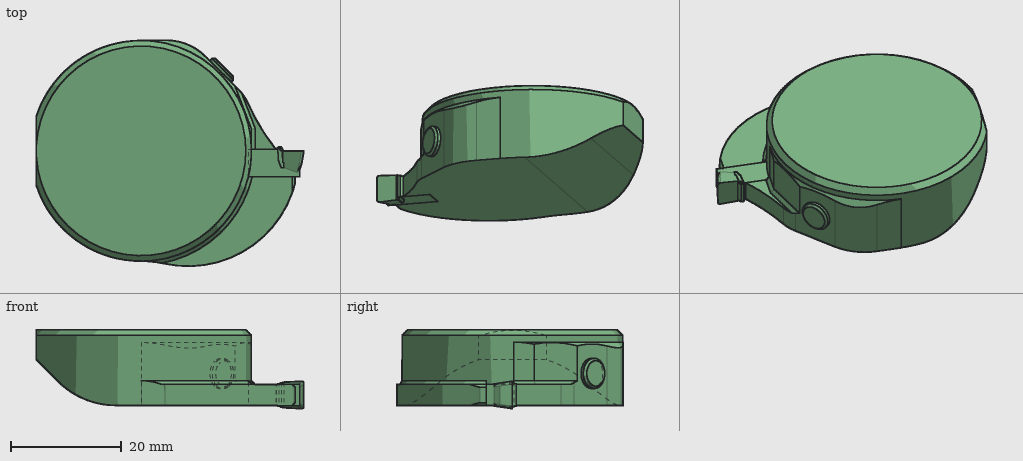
import cadquery as cq
import math

disc_radius = 20.0
disc_height = 13.73
rim_chamfer = 1.0
rear_flat_x = -19.0
undercut_start_z = 8.35
undercut_radius = 15.0

blade_thickness = 3.85
blade_arc_radius = disc_radius
blade_arc_x = 8.55
blade_arc_y = -0.9
blade_end_x = 27.9
blade_end_chamfer = 0.55
blade_arc_start_x = 4.3
bend_start_x = 17.65
bend_middle = (18.58, 10.0)
bend_end = (19.3, 8.75)
hollow_middle = (21.75, 4.1)
hollow_end_x = 24.4
foot_chamfer = 0.7

boss_top_y = 20.05
boss_wall_x = 20.0
boss_wall_y = 3.95
pad_corner_x = 16.98
pad_distance = 20.3
boss_corner_radius = 10.0
boss_cone_z = 11.5
plug_diameter = 5.5
plug_end = 21.35
plug_z = 5.8
plug_chamfer = 0.45

insert_top_y = 0.3
insert_width = 5.0
insert_inner_x = 19.4
insert_front_x = 28.75
nub_start_x = 24.45
nub_top_y = 0.75
nub_flat_start_x = 24.9
nub_flat_end_x = 25.35
rake_start_x = 25.8
tip_front_x = 29.5
tip_back_half_width = 2.35
tip_flare = 0.05
nub_half_width = 2.25
tip_back_x = 25.65
tip_root_x = 25.3
tip_root_half_width = 1.65
tip_corner_radius = 0.5
side_relief = 0.14
shoulder_half_width = 2.05
shoulder_start_x = 24.75
shoulder_bend_y = -1.85
shoulder_end_y = -3.05
tip_levels = [
    (0.0, tip_front_x),
    (-2.3, 29.1),
    (-3.35, insert_front_x),
    (-4.35, insert_front_x),
]

insert_bottom_y = insert_top_y - insert_width
middle_z = blade_thickness / 2
diagonal = math.sqrt(0.5)
bevel_angle = 45
half_bend = math.radians(bevel_angle / 2)


def make_disc():
    disc = cq.Workplane("XY").circle(disc_radius).extrude(disc_height)
    return disc.faces(">Z").edges().chamfer(rim_chamfer)


def make_undercut():
    """Everything to remove outside the rear flat and below the blended 45 degree slope."""
    slope_foot_x = rear_flat_x + undercut_start_z
    tangent = undercut_radius * math.tan(half_bend)
    blend_start = (slope_foot_x - tangent * diagonal, tangent * diagonal)
    blend_end_x = slope_foot_x + tangent
    blend_middle = (
        blend_end_x - undercut_radius * math.sin(half_bend),
        undercut_radius * (1 - math.cos(half_bend)),
    )
    outside = 2 * disc_radius
    return (
        cq.Workplane("XZ")
        .moveTo(rear_flat_x, outside)
        .lineTo(rear_flat_x, undercut_start_z)
        .lineTo(*blend_start)
        .threePointArc(blend_middle, (blend_end_x, 0))
        .lineTo(-outside, 0)
        .lineTo(-outside, outside)
        .close()
        .extrude(outside, both=True)
    )


def pad_line_y(x):
    """Y on the 45 degree line of the boss pad, which the blade edge continues."""
    return pad_distance / diagonal - x


def blade_arc_point_y(x):
    return blade_arc_y - math.sqrt(blade_arc_radius**2 - (x - blade_arc_x) ** 2)


def blade_prism(height):
    """Blade outline: concave blend off the disc, outer arc, end face, hollow edge and bend."""
    arc_start_y = blade_arc_point_y(blade_arc_start_x)
    drop = -disc_radius - arc_start_y
    blend_radius = (blade_arc_start_x**2 + drop**2) / (2 * drop)
    arc_middle = (
        blade_arc_x + blade_arc_radius * diagonal,
        blade_arc_y - blade_arc_radius * diagonal,
    )
    bend_start = (bend_start_x, pad_line_y(bend_start_x))
    return (
        cq.Workplane("XY")
        .moveTo(0, 0)
        .lineTo(0, -disc_radius)
        .radiusArc((blade_arc_start_x, arc_start_y), blend_radius)
        .threePointArc(arc_middle, (blade_end_x, blade_arc_point_y(blade_end_x)))
        .lineTo(blade_end_x, insert_top_y)
        .lineTo(hollow_end_x, insert_top_y)
        .threePointArc(hollow_middle, bend_end)
        .threePointArc(bend_middle, bend_start)
        .lineTo(pad_corner_x, pad_line_y(pad_corner_x))
        .close()
        .extrude(height)
    )


def make_blade():
    """Blade with both edges of its end face chamfered."""
    end_profile = cq.Workplane("XZ").polyline([
        (-disc_radius, 0),
        (blade_end_x - blade_end_chamfer, 0),
        (blade_end_x, blade_end_chamfer),
        (blade_end_x, blade_thickness - blade_end_chamfer),
        (blade_end_x - blade_end_chamfer, blade_thickness),
        (-disc_radius, blade_thickness),
    ]).close().extrude(2 * disc_radius, both=True)
    return blade_prism(blade_thickness).intersect(end_profile)


def boss_side_points():
    """Straight wall beside the insert, then the slanted wall up to the pad."""
    return [
        (0, insert_top_y),
        (boss_wall_x, insert_top_y),
        (boss_wall_x, boss_wall_y),
        (pad_corner_x, pad_line_y(pad_corner_x)),
    ]


def make_boss():
    """Prism around the pad, its top sloping down from the disc wall at 45 degrees."""
    corner_x = pad_line_y(boss_top_y)
    tangent = boss_corner_radius * math.tan(half_bend)
    corner_start = (corner_x + tangent * diagonal, boss_top_y - tangent * diagonal)
    corner_end = (corner_x - tangent, boss_top_y)
    corner_middle = (
        corner_end[0] + boss_corner_radius * math.sin(half_bend),
        boss_top_y - boss_corner_radius * (1 - math.cos(half_bend)),
    )
    prism = (
        cq.Workplane("XY")
        .polyline(boss_side_points())
        .lineTo(*corner_start)
        .threePointArc(corner_middle, corner_end)
        .lineTo(0, boss_top_y)
        .close()
        .extrude(disc_height)
    )
    cone_base = disc_radius + boss_cone_z
    cone = cq.Workplane(cq.Solid.makeCone(cone_base, 0, cone_base))
    return prism.intersect(cone)


def make_plug():
    """Round head standing out of the pad, its axis square to the pad face."""
    outward = cq.Vector(1, 1, 0)
    plane = cq.Plane(origin=(0, 0, plug_z), xDir=(0, 0, 1), normal=outward)
    plug = cq.Workplane(plane).circle(plug_diameter / 2).extrude(plug_end)
    outer_face = plug.faces(cq.selectors.DirectionMinMaxSelector(outward))
    return outer_face.edges().chamfer(plug_chamfer)


def make_foot_bead():
    """45 degree bead on the blade, around the disc wall and along the boss wall."""
    foot_radius = disc_radius + foot_chamfer
    blade_top = cq.Plane(origin=(0, 0, blade_thickness))
    ring = cq.Workplane(blade_top).circle(foot_radius).extrude(foot_chamfer, taper=bevel_angle)
    wall = (
        cq.Workplane(blade_top)
        .polyline(boss_side_points())
        .close()
        .offset2D(foot_chamfer, "intersection")
        .extrude(foot_chamfer, taper=bevel_angle)
    )
    return ring.union(wall).intersect(blade_prism(disc_height))


def slot_prism(height):
    """Straight slot for the insert bar, open past the end of the blade."""
    length = insert_front_x - insert_inner_x
    return cq.Workplane("XY").box(length, insert_width, height, centered=False).translate(
        (insert_inner_x, insert_bottom_y, 0)
    )


def make_head():
    flange = make_blade().union(make_foot_bead()).cut(slot_prism(disc_height))
    core = make_disc().union(make_boss()).union(make_plug())
    return core.union(flange).cut(slot_prism(blade_thickness)).cut(make_undercut())


def make_insert_bar():
    return (
        cq.Workplane("XY")
        .polyline([
            (insert_inner_x, insert_bottom_y),
            (insert_front_x, insert_bottom_y),
            (insert_front_x, 0),
            (rake_start_x, 0),
            (nub_flat_end_x, nub_top_y),
            (nub_flat_start_x, nub_top_y),
            (nub_start_x, insert_top_y),
            (insert_inner_x, insert_top_y),
        ])
        .close()
        .extrude(blade_thickness)
    )


def tip_section(y, front_x):
    """Outline of the cutting tip at one level, symmetric about the middle of its thickness."""
    relief = side_relief * y
    back = tip_back_half_width + relief
    corner_x = front_x - tip_corner_radius
    front = back + tip_flare * (corner_x - tip_back_x)
    side = front - tip_corner_radius
    arc_x = corner_x + tip_corner_radius * diagonal
    arc_z = side + tip_corner_radius * diagonal
    return (
        cq.Workplane("XZ", origin=(0, y, middle_z))
        .moveTo(tip_root_x, tip_root_half_width)
        .lineTo(tip_back_x, back)
        .lineTo(corner_x, front)
        .threePointArc((arc_x, arc_z), (front_x, side))
        .lineTo(front_x, -side)
        .threePointArc((arc_x, -arc_z), (corner_x, -front))
        .lineTo(tip_back_x, -back)
        .lineTo(tip_root_x, -tip_root_half_width)
        .close()
        .val()
    )


def make_shoulder():
    """Low step around the root of the tip, on both sides of the bar."""
    return (
        cq.Workplane("XY", origin=(0, 0, middle_z))
        .polyline([
            (shoulder_start_x, insert_top_y),
            (nub_flat_start_x, nub_top_y),
            (nub_flat_end_x, nub_top_y),
            (rake_start_x, 0),
            (rake_start_x, shoulder_end_y),
            (nub_flat_end_x, shoulder_end_y),
            (nub_flat_start_x, shoulder_bend_y),
        ])
        .close()
        .extrude(shoulder_half_width, both=True)
    )


def nub_section(y, start_x, end_x, half_width):
    return (
        cq.Workplane("XZ", origin=((start_x + end_x) / 2, y, middle_z))
        .rect(end_x - start_x, 2 * half_width)
        .val()
    )


def make_nub():
    """Wedge above the rake face, flaring from the bar out to the width of the tip."""
    rake_level = nub_section(0, tip_root_x, rake_start_x, nub_half_width)
    top_level = nub_section(nub_top_y, nub_flat_start_x, nub_flat_end_x, middle_z)
    return cq.Workplane(cq.Solid.makeLoft([rake_level, top_level], True))


def make_tip():
    sections = [tip_section(y, front_x) for y, front_x in tip_levels]
    return cq.Workplane(cq.Solid.makeLoft(sections, True))


def make_insert():
    return make_insert_bar().union(make_shoulder()).union(make_nub()).union(make_tip())


head = make_head()
insert = make_insert()
result = cq.Compound.makeCompound([head.solids().val(), insert.solids().val()])